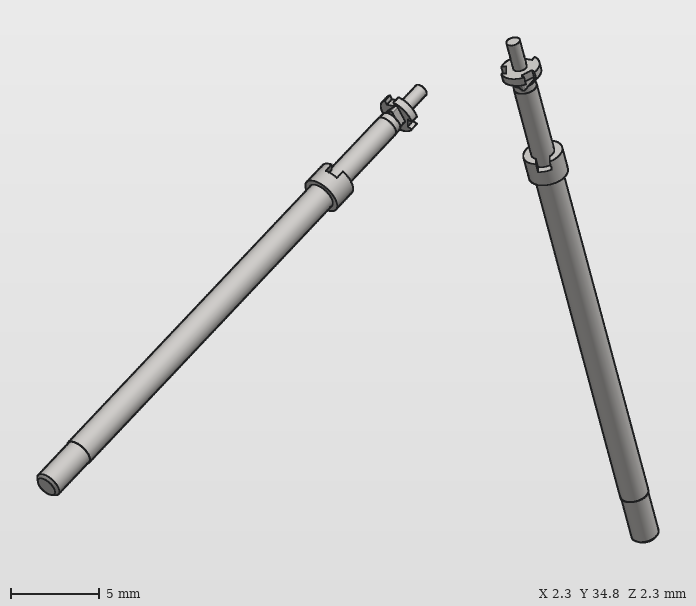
import cadquery as cq
import math

LENGTH = 34.8
FRONT_END = -LENGTH / 2
BACK_END = LENGTH / 2

TAIL_DIAMETER = 1.6
SLEEVE_DIAMETER = 1.67
COLLAR_DIAMETER = 2.3
NECK_DIAMETER = 1.35
SHOULDER_DIAMETER = 1.32
PIN_DIAMETER = 0.8

TAIL_LENGTH = 3.0
SLEEVE_LENGTH = 22.5
COLLAR_LENGTH = 1.5
NECK_LENGTH = 4.6
SHOULDER_LENGTH = 0.42
WEDGE_LENGTH = 0.5
FLANGE_LENGTH = 0.5

END_CHAMFER = 0.17

SLOT_WIDTH = 0.8
SLOT_LENGTH = 0.55

WEDGE_LEAN_DEGREES = 30
WEDGE_HEIGHT = 2.15
WEDGE_TIP_RADIUS = 0.087
WEDGE_WIDTH = WEDGE_HEIGHT * math.tan(math.radians(WEDGE_LEAN_DEGREES))

NOTCH_COUNT = 3
NOTCH_WIDTH = 0.7
NOTCH_FLOOR_RADIUS = 0.8

SLEEVE_START = FRONT_END + TAIL_LENGTH
COLLAR_START = SLEEVE_START + SLEEVE_LENGTH
NECK_START = COLLAR_START + COLLAR_LENGTH
SHOULDER_START = NECK_START + NECK_LENGTH
WEDGE_START = SHOULDER_START + SHOULDER_LENGTH
FLANGE_START = WEDGE_START + WEDGE_LENGTH
PIN_START = FLANGE_START + FLANGE_LENGTH


def section_at(y):
    """Sketch plane at y whose extrusions run towards +Y; local x is -X, local y is Z."""
    return cq.Workplane(cq.Plane(origin=(0, y, 0), xDir=(-1, 0, 0), normal=(0, 1, 0)))


def cylinder(diameter, start, length):
    return section_at(start).circle(diameter / 2).extrude(length)


def make_tail():
    tail = cylinder(TAIL_DIAMETER, FRONT_END, TAIL_LENGTH)
    return tail.faces("<Y").chamfer(END_CHAMFER)


def make_collar():
    collar = cylinder(COLLAR_DIAMETER, COLLAR_START, COLLAR_LENGTH)
    slots = section_at(NECK_START - SLOT_LENGTH).rect(SLOT_WIDTH, COLLAR_DIAMETER).extrude(SLOT_LENGTH)
    return collar.cut(slots)


def make_wedge():
    half_width = WEDGE_WIDTH / 2
    half_height = WEDGE_HEIGHT / 2
    corners = [(half_width, 0), (0, half_height), (-half_width, 0), (0, -half_height)]
    wedge = section_at(WEDGE_START).polyline(corners).close().extrude(WEDGE_LENGTH)
    return wedge.edges("|Y and (>Z or <Z)").fillet(WEDGE_TIP_RADIUS)


def make_flange():
    flange = cylinder(COLLAR_DIAMETER, FLANGE_START, FLANGE_LENGTH)
    notch = (
        section_at(FLANGE_START)
        .center(-NOTCH_FLOOR_RADIUS - COLLAR_DIAMETER / 2, 0)
        .rect(COLLAR_DIAMETER, NOTCH_WIDTH)
        .extrude(FLANGE_LENGTH)
    )
    for i in range(NOTCH_COUNT):
        flange = flange.cut(notch.rotate((0, 0, 0), (0, 1, 0), i * 360 / NOTCH_COUNT))
    return flange


result = (
    make_tail()
    .union(cylinder(SLEEVE_DIAMETER, SLEEVE_START, SLEEVE_LENGTH))
    .union(make_collar())
    .union(cylinder(NECK_DIAMETER, COLLAR_START, COLLAR_LENGTH + NECK_LENGTH))
    .union(cylinder(SHOULDER_DIAMETER, SHOULDER_START, SHOULDER_LENGTH))
    .union(make_wedge())
    .union(make_flange())
    .union(cylinder(PIN_DIAMETER, PIN_START, BACK_END - PIN_START))
)